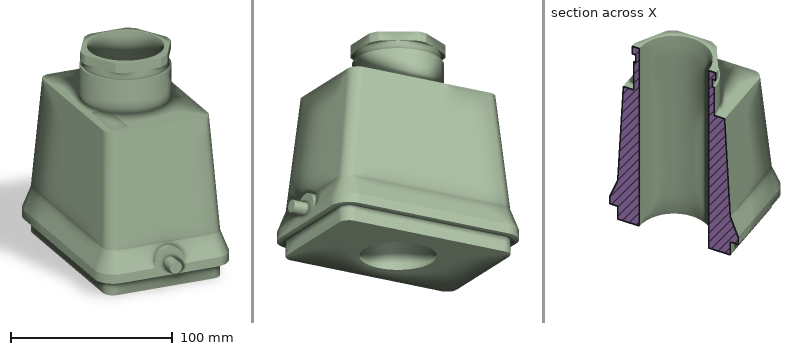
import cadquery as cq

overall_height = 138.6
pin_span = 152.0
flange_length = 131.8
flange_width = 90.0
flange_overhang = 5.5
corner_radius = 7.0

base_height = 10.0
flange_height = 6.1
skirt_height = 13.8
hood_height = 75.1
collar_height = 21.9
nut_height = 6.2

top_length = 104.1
top_width = 71.1

bore_diameter = 48.0
collar_diameter = 57.0
neck_diameter = 54.0
nut_across_flats = neck_diameter
nut_corner_diameter = 59.0

pin_diameter = 8.0
boss_diameter = 20.0
pin_level = 18.7

panel_length = 32.0
panel_width = 11.2
panel_radius = 2.5
panel_depth = 0.3
panel_x = 31.2
panel_y = -24.8

base_length = flange_length - 2 * flange_overhang
base_width = flange_width - 2 * flange_overhang
flange_radius = corner_radius + flange_overhang
flange_bottom = base_height
flange_top = flange_bottom + flange_height
skirt_top = flange_top + skirt_height
hood_top = skirt_top + hood_height
collar_top = hood_top + collar_height
nut_bottom = overall_height - nut_height


def rounded_rectangle(length, width, radius):
    return cq.Sketch().rect(length, width).vertices().fillet(radius)


def rounded_block(length, width, radius, bottom, height):
    outline = rounded_rectangle(length, width, radius)
    return cq.Workplane("XY").workplane(offset=bottom).placeSketch(outline).extrude(height)


def tapered_block(lower, upper, bottom, height):
    """Loft between two rounded rectangles a given height apart."""
    raised = upper.moved(cq.Location(cq.Vector(0, 0, height)))
    return cq.Workplane("XY").workplane(offset=bottom).placeSketch(lower, raised).loft()


def cylinder(diameter, bottom, top):
    return cq.Workplane("XY").workplane(offset=bottom).circle(diameter / 2).extrude(top - bottom)


def housing():
    """Base, flange, sloping skirt and tapered hood with its recessed panel."""
    base_outline = rounded_rectangle(base_length, base_width, corner_radius)
    flange_outline = rounded_rectangle(flange_length, flange_width, flange_radius)
    top_outline = rounded_rectangle(top_length, top_width, corner_radius)

    base = rounded_block(base_length, base_width, corner_radius, 0, base_height)
    flange = rounded_block(flange_length, flange_width, flange_radius, flange_bottom, flange_height)
    skirt = tapered_block(flange_outline, base_outline, flange_top, skirt_height)
    hood = tapered_block(base_outline, top_outline, skirt_top, hood_height)

    panel = rounded_block(panel_length, panel_width, panel_radius, hood_top - panel_depth, panel_depth)
    return base.union(flange).union(skirt).union(hood).cut(panel.translate((panel_x, panel_y, 0)))


def cable_entry():
    """Collar, narrower neck and a hexagonal nut with rounded corners."""
    collar = cylinder(collar_diameter, hood_top - panel_depth, collar_top)
    neck = cylinder(neck_diameter, collar_top, nut_bottom)
    hexagon = (
        cq.Workplane("XY")
        .workplane(offset=nut_bottom)
        .polygon(6, nut_across_flats, circumscribed=True)
        .extrude(nut_height)
    )
    nut = hexagon.intersect(cylinder(nut_corner_diameter, nut_bottom, overall_height))
    return collar.union(neck).union(nut)


def cross_bar(diameter, length):
    """Round bar along X at pin level, centred on the housing."""
    return (
        cq.Workplane("YZ")
        .center(0, pin_level)
        .circle(diameter / 2)
        .extrude(length / 2, both=True)
    )


def pins_and_bosses():
    """Pins on both ends, each on a boss that is flush with the flange and merges into it."""
    bosses = cross_bar(boss_diameter, flange_length)
    below_flange = cq.Workplane("XY").box(
        flange_length, boss_diameter, flange_bottom, centered=(True, True, False)
    )
    return bosses.cut(below_flange).union(cross_bar(pin_diameter, pin_span))


bore = cylinder(bore_diameter, 0, overall_height)
result = housing().union(cable_entry()).union(pins_and_bosses()).cut(bore)